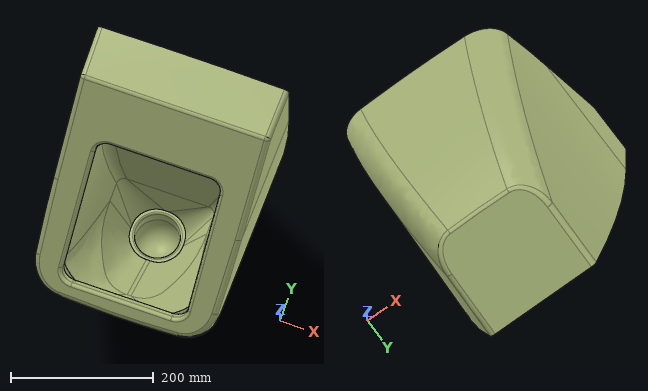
import cadquery as cq
import math


HEIGHT = 553.5
WIDTH = 285.0
HALF_WIDTH = WIDTH / 2
SIDE_RADIUS = 1698.5
SIDE_WAIST = 420.5
SIDE_DRAFT = 1.0

FRONT_REACH = 332.0
FRONT_RADIUS = 603.0
FRONT_WAIST = 434.0
LIP_HEIGHT = 297.0
BOTTOM_FRONT_DEPTH = 157.5
BOTTOM_RISE = 9.0
TOP_FRONT_DEPTH = 77.5
TOP_EDGE_HEIGHT = 549.0
FRONT_CROWN_RADIUS = 1660.0

CORNER_RADIUS = 47.0
EDGE_RADIUS = 8.0
BOTTOM_EDGE_RADIUS = 9.0

OPENING_HALF_WIDTH = 93.0
OPENING_TOP = 483.0
OPENING_BOTTOM = 316.0
OPENING_CORNER = 19.0
OPENING_EDGE_RADIUS = 5.0
LIP_THICKNESS = 14.0
TUNNEL_LENGTH = 50.0
TUNNEL_LOWEST = 387.5

DRAIN_SECTION = (177.0, 39.0, 110.5, 187.0, 36.0, 36.0, 36.0)
FLOOR_SECTION = (249.0, 72.0, 107.0, 266.5, 11.0, 69.0, 122.0)
MIDDLE_SECTION = (332.0, 97.0, 91.0, 304.5, 14.0, 33.0, 33.0)
CEILING_SECTION = (452.5, 108.0, 66.0, 310.0, 16.5, 27.5, 27.5)
TUNNEL_EDGE_RADIUS = 4.5

DRAIN_RADIUS = 32.0
DRAIN_DEPTH = 149.0
DRAIN_EDGE_RADIUS = 3.0
DRAIN_LENGTH = 27.5

OVERSHOOT = 55.5
SLACK = 0.5
NEARLY_FLAT = 0.05


def below_waist(reach, radius, waist, height):
    """Distance reached at a height by an arc that leaves the vertical at its waist and curves inward."""
    return reach - radius + math.sqrt(radius**2 - (waist - height)**2)


LIP_DEPTH = below_waist(FRONT_REACH, FRONT_RADIUS, FRONT_WAIST, LIP_HEIGHT)
RIM_RUN = LIP_DEPTH - TOP_FRONT_DEPTH
RIM_DROP = TOP_EDGE_HEIGHT - LIP_HEIGHT
RIM_ANGLE = math.atan2(RIM_DROP, RIM_RUN)


def zone(half_width, shallow, deep, low, high):
    """Selects what has its centre within a range of widths, depths and heights."""
    return cq.selectors.BoxSelector((-half_width, -deep, low), (half_width, -shallow, high))


def rim_plane(offset=0.0):
    """Plane of the rim face, origin at its top edge, local Y up the slope, moved inward by offset."""
    normal = (0, -math.sin(RIM_ANGLE), math.cos(RIM_ANGLE))
    origin = (0, -TOP_FRONT_DEPTH - offset * normal[1], TOP_EDGE_HEIGHT - offset * normal[2])
    return cq.Plane(origin=origin, xDir=(1, 0, 0), normal=normal)


def slope_position(height):
    """Local Y on the rim plane of the point at the given height."""
    return (height - TOP_EDGE_HEIGHT) / math.sin(RIM_ANGLE)


def side_envelope():
    """Front outline of the body, drawn at the wall and drafted toward the front."""
    def half_width(height):
        return below_waist(HALF_WIDTH, SIDE_RADIUS, SIDE_WAIST, height)

    foot = -OVERSHOOT
    middle = (foot + SIDE_WAIST) / 2
    top = HEIGHT + OVERSHOOT
    outline = (
        cq.Workplane("XZ")
        .moveTo(-half_width(foot), foot)
        .lineTo(half_width(foot), foot)
        .threePointArc((half_width(middle), middle), (HALF_WIDTH, SIDE_WAIST))
        .lineTo(HALF_WIDTH, top)
        .lineTo(-HALF_WIDTH, top)
        .lineTo(-HALF_WIDTH, SIDE_WAIST)
        .threePointArc((-half_width(middle), middle), (-half_width(foot), foot))
        .close()
    )
    return outline.extrude(FRONT_REACH + OVERSHOOT, taper=SIDE_DRAFT)


def front_envelope():
    """Side profile turned about a far vertical axis, which gives the front its slight crown."""
    def front(height):
        return -below_waist(FRONT_REACH, FRONT_RADIUS, FRONT_WAIST, height)

    foot = -OVERSHOOT
    middle = (foot + FRONT_WAIST) / 2
    top = HEIGHT + OVERSHOOT
    axis_y = FRONT_CROWN_RADIUS - FRONT_REACH
    sector = 2 * math.degrees(math.asin((HALF_WIDTH + OVERSHOOT) / FRONT_CROWN_RADIUS))
    sector_solid = (
        cq.Workplane("YZ")
        .moveTo(OVERSHOOT, foot)
        .lineTo(front(foot), foot)
        .threePointArc((front(middle), middle), (-FRONT_REACH, FRONT_WAIST))
        .lineTo(-FRONT_REACH, top)
        .lineTo(OVERSHOOT, top)
        .close()
        .revolve(sector, (axis_y, 0, 0), (axis_y, 1, 0))
    )
    return sector_solid.rotate((0, axis_y, 0), (0, axis_y, 1), -sector / 2)


def flat_cuts():
    """Side profile of the flat rim face and the gently rising bottom."""
    rise = BOTTOM_RISE / BOTTOM_FRONT_DEPTH
    reach = LIP_DEPTH + OVERSHOOT
    slope = RIM_DROP / RIM_RUN
    return (
        cq.Workplane("YZ")
        .polyline([
            (0, 0),
            (-reach, rise * reach),
            (-reach, LIP_HEIGHT - slope * OVERSHOOT),
            (0, TOP_EDGE_HEIGHT + slope * TOP_FRONT_DEPTH),
        ])
        .close()
        .extrude(HALF_WIDTH + OVERSHOOT, both=True)
    )


def top_envelope():
    """Space under the top face: arched along the wall, level along the front edge of the top."""
    def outline(plane, crown_height):
        return (
            plane.moveTo(-HALF_WIDTH, -OVERSHOOT)
            .lineTo(HALF_WIDTH, -OVERSHOOT)
            .lineTo(HALF_WIDTH, TOP_EDGE_HEIGHT)
            .threePointArc((0, crown_height), (-HALF_WIDTH, TOP_EDGE_HEIGHT))
            .close()
        )
    nearly_level = TOP_EDGE_HEIGHT + NEARLY_FLAT
    wall_outline = outline(cq.Workplane("XZ"), HEIGHT)
    arched = outline(wall_outline.workplane(offset=TOP_FRONT_DEPTH), nearly_level).loft(ruled=True)
    level = outline(cq.Workplane("XZ", origin=(0, -TOP_FRONT_DEPTH, 0)), nearly_level)
    return arched.union(level.extrude(LIP_DEPTH))


def rim_face_edges(solid):
    """Edges around the sloping rim face."""
    return solid.faces(cq.selectors.DirectionNthSelector(rim_plane().zDir, -1)).edges()


def outer_body():
    body = side_envelope().intersect(front_envelope())
    front_corners = zone(HALF_WIDTH, BOTTOM_FRONT_DEPTH, FRONT_REACH, 0, HEIGHT + OVERSHOOT - SLACK)
    body = body.edges(front_corners).fillet(CORNER_RADIUS)
    return body.intersect(flat_cuts()).intersect(top_envelope())


def round_outer_edges(body):
    """Round the edges around the rim, the top and the bottom, leaving the wall outline sharp."""
    top_sides = zone(WIDTH, SLACK, TOP_FRONT_DEPTH - SLACK, TOP_EDGE_HEIGHT - SLACK, HEIGHT)
    bottom = zone(WIDTH, SLACK, FRONT_REACH, -SLACK, BOTTOM_RISE + SLACK)
    upper_edges = rim_face_edges(body).vals() + body.edges(top_sides).vals()
    body = body.newObject(upper_edges).fillet(EDGE_RADIUS)
    return body.edges(bottom).fillet(BOTTOM_EDGE_RADIUS)


def opening():
    """Rounded opening square to the rim face; its upper part is a short tunnel into the bowl."""
    top = slope_position(OPENING_TOP)
    bottom = slope_position(OPENING_BOTTOM)

    def prism(length):
        block = (
            cq.Workplane(rim_plane())
            .center(0, (top + bottom) / 2)
            .rect(2 * OPENING_HALF_WIDTH, top - bottom)
            .extrude(-length)
        )
        return block.edges(cq.selectors.ParallelDirSelector(rim_plane().zDir)).fillet(OPENING_CORNER)

    upper_part = (
        cq.Workplane("XY", origin=(0, 0, TUNNEL_LOWEST))
        .rect(WIDTH, 2 * FRONT_REACH)
        .extrude(HEIGHT - TUNNEL_LOWEST)
    )
    return prism(LIP_THICKNESS + SLACK).union(prism(TUNNEL_LENGTH).intersect(upper_part))


def bowl_section(height, half_width, back, front, back_radius, front_width, front_length):
    """Level outline with a straight back, round back corners and elliptic front corners."""
    diagonal = math.sqrt(0.5)
    back_side = half_width - back_radius
    front_side = half_width - front_width
    back_end = -back - back_radius
    front_end = -front + front_length
    back_bend = (back_side + diagonal * back_radius, back_end + diagonal * back_radius)
    front_bend = (front_side + diagonal * front_width, front_end - diagonal * front_length)
    to_front, to_right, to_back = (0, -1), (1, 0), (0, 1)
    return (
        cq.Workplane("XY", origin=(0, 0, height))
        .moveTo(back_side, -back)
        .lineTo(-back_side, -back)
        .threePointArc((-back_bend[0], back_bend[1]), (-half_width, back_end))
        .lineTo(-half_width, front_end)
        .spline(
            [(-front_bend[0], front_bend[1]), (-front_side, -front)],
            tangents=[to_front, to_right],
            includeCurrent=True,
        )
        .lineTo(front_side, -front)
        .spline([front_bend, (half_width, front_end)], tangents=[to_right, to_back], includeCurrent=True)
        .lineTo(half_width, back_end)
        .threePointArc(back_bend, (back_side, -back))
        .close()
        .val()
    )


def bowl():
    """Funnel up from the drain, then side walls flaring to the ceiling, all below the rim's underside."""
    drain_outline, floor_outline, middle_outline, ceiling_outline = (
        bowl_section(*section)
        for section in (DRAIN_SECTION, FLOOR_SECTION, MIDDLE_SECTION, CEILING_SECTION)
    )
    funnel = cq.Workplane(cq.Solid.makeLoft([drain_outline, floor_outline], True))
    walls = cq.Workplane(cq.Solid.makeLoft([floor_outline, middle_outline, ceiling_outline]))
    below_rim = cq.Workplane(rim_plane(LIP_THICKNESS)).rect(2 * HEIGHT, 2 * HEIGHT).extrude(-HEIGHT)
    return funnel.union(walls.intersect(below_rim))


def drain():
    """Blind round outlet with a domed bottom."""
    axis = cq.Workplane("XY", origin=(0, -DRAIN_DEPTH, DRAIN_SECTION[0] - DRAIN_LENGTH))
    return axis.circle(DRAIN_RADIUS).extrude(DRAIN_LENGTH).union(axis.sphere(DRAIN_RADIUS))


def round_opening_edge(body):
    """Round the mouth of the opening where it meets the rim face."""
    mouth = zone(
        OPENING_HALF_WIDTH + SLACK,
        TOP_FRONT_DEPTH + SLACK, LIP_DEPTH,
        OPENING_BOTTOM - SLACK, OPENING_TOP + SLACK,
    )
    return rim_face_edges(body).edges(mouth).fillet(OPENING_EDGE_RADIUS)


def round_tunnel_edge(body):
    """Round the straight edge between the tunnel's upper side and the bowl's ceiling."""
    ceiling = CEILING_SECTION[0]
    deepest = TOP_FRONT_DEPTH + TUNNEL_LENGTH
    tunnel_edge = zone(SLACK, TOP_FRONT_DEPTH, deepest, ceiling - SLACK, ceiling + SLACK)
    return body.edges(tunnel_edge).fillet(TUNNEL_EDGE_RADIUS)


def round_drain_edge(body):
    """Round the rim of the drain at the bottom of the bowl."""
    level = DRAIN_SECTION[0]
    drain_edge = zone(DRAIN_RADIUS, DRAIN_DEPTH - SLACK, DRAIN_DEPTH + SLACK, level - SLACK, level + SLACK)
    return body.edges(drain_edge).fillet(DRAIN_EDGE_RADIUS)


shell = round_outer_edges(outer_body())
hollowed = shell.cut(bowl()).cut(opening())
hollowed = round_tunnel_edge(round_opening_edge(hollowed))
result = round_drain_edge(hollowed.cut(drain()))